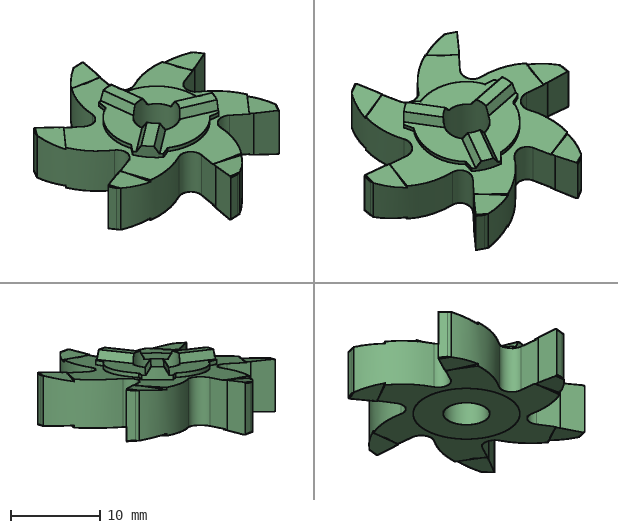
import cadquery as cq
import math

TOOTH_COUNT = 6
TOOTH_PITCH = 360 / TOOTH_COUNT
BODY_THICKNESS = 5.55
BODY_TOP = BODY_THICKNESS / 2
TIP_RADIUS = 13.85

GULLET_RADIUS = 1.45
GULLET_DISTANCE = 8.3
GULLET_ANGLE = -9.3

BACK_RADIUS = 9.6
BACK_CENTRE_X = 6.1

ROOT_FACE_X = 10.47
ROOT_BACK_X = 10.7

STEP_START_X = 10.9
STEP_END_X = 11.0
STEP_HEIGHT = 0.03

LAND_BEND = (13.75, 0.97)
LAND_END_X = 13.6

TIP_RISE = 0.25
TAPER_ANGLE = 3.0
SIDE_RELIEF_ANGLE = 5.0
CORNER_SIZE = 0.15

DOG_COUNT = 3
FIRST_DOG_ANGLE = 75.0
SLEEVE_RADIUS = 5.98
BORE_RADIUS = 2.6
LUG_THICKNESS = 0.5
LUG_RADIUS = 7.04
LUG_END_HALF_WIDTH = 1.75
LUG_SIDE_ANGLE = 15.0
DOG_HEIGHT = 1.02
DOG_BASE_HALF_WIDTH = 1.33
DOG_TOP_HALF_WIDTH = 0.72
LUG_TOP = BODY_TOP + LUG_THICKNESS
DOG_TOP = LUG_TOP + DOG_HEIGHT

TRIM_SIZE = 2 * TIP_RADIUS


def rotated(point, angle):
    """Turn a point (x, y) about the cutter axis by an angle in degrees."""
    x, y = point
    c = math.cos(math.radians(angle))
    s = math.sin(math.radians(angle))
    return (x * c - y * s, x * s + y * c)


def make_cylinder(radius, bottom, top):
    """Upright cylinder about the cutter axis."""
    return cq.Workplane("XY", origin=(0, 0, bottom)).circle(radius).extrude(top - bottom)


gullet_centre = rotated((GULLET_DISTANCE, 0), GULLET_ANGLE)
gullet_floor = rotated((GULLET_DISTANCE - GULLET_RADIUS, 0), GULLET_ANGLE)
gullet_end = (gullet_centre[0], gullet_centre[1] + GULLET_RADIUS)
next_gullet_centre = rotated(gullet_centre, TOOTH_PITCH)

centre_distance = BACK_RADIUS + GULLET_RADIUS
centre_offset = BACK_CENTRE_X - next_gullet_centre[0]
back_centre_y = next_gullet_centre[1] - math.sqrt(centre_distance**2 - centre_offset**2)
back_start_x = next_gullet_centre[0] + centre_offset * GULLET_RADIUS / centre_distance


def back_point(x):
    """Point at x on the curved back of the tooth."""
    return (x, back_centre_y + math.sqrt(BACK_RADIUS**2 - (x - BACK_CENTRE_X) ** 2))


back_start = back_point(back_start_x)
face_slope = (STEP_HEIGHT - gullet_end[1]) / (STEP_START_X - gullet_end[0])
root_face = (ROOT_FACE_X, STEP_HEIGHT + face_slope * (ROOT_FACE_X - STEP_START_X))
root_back = back_point(ROOT_BACK_X)
land_end = back_point(LAND_END_X)


def make_toothed_body():
    """Flat body with every tooth cut off at the root line of its tip."""
    outline = cq.Workplane("XY", origin=(0, 0, -BODY_TOP))
    outline = outline.moveTo(*rotated(back_start, -TOOTH_PITCH))
    back_middle = back_point((ROOT_BACK_X + back_start_x) / 2)
    for tooth in range(TOOTH_COUNT):
        angle = tooth * TOOTH_PITCH
        outline = (
            outline.threePointArc(rotated(gullet_floor, angle), rotated(gullet_end, angle))
            .lineTo(*rotated(root_face, angle))
            .lineTo(*rotated(root_back, angle))
            .threePointArc(rotated(back_middle, angle), rotated(back_start, angle))
        )
    return outline.close().extrude(BODY_THICKNESS)


def tip_top(x, y):
    """Point on the sloping top of a tip, highest at the outer end of its cutting face."""
    taper = (TIP_RADIUS - x) * math.tan(math.radians(TAPER_ANGLE))
    relief = y * math.tan(math.radians(SIDE_RELIEF_ANGLE))
    return cq.Vector(x, y, BODY_TOP + TIP_RISE - taper - relief)


def block_above(first, second, third):
    """Block on the upper side of the plane through three points."""
    normal = (second - first).cross(third - first)
    if normal.z < 0:
        normal = -normal
    plane = cq.Plane(origin=first, xDir=second - first, normal=normal)
    return cq.Workplane(plane).rect(TRIM_SIZE, TRIM_SIZE).extrude(TRIM_SIZE)


def make_tip():
    """Cutting tip along +X, alike above and below, with its outer corners cut off."""
    tip_half_height = BODY_TOP + TIP_RISE
    tip = (
        cq.Workplane("XY", origin=(0, 0, -tip_half_height))
        .moveTo(*root_face)
        .lineTo(STEP_START_X, STEP_HEIGHT)
        .lineTo(STEP_END_X, 0)
        .lineTo(TIP_RADIUS, 0)
        .lineTo(*LAND_BEND)
        .lineTo(*land_end)
        .threePointArc(back_point((LAND_END_X + ROOT_BACK_X) / 2), root_back)
        .close()
        .extrude(2 * tip_half_height)
    )
    outer_corner = tip_top(TIP_RADIUS, 0)
    end_of_land = tip_top(*land_end)
    top_trim = block_above(outer_corner, tip_top(ROOT_FACE_X, 0), end_of_land)
    corner_trim = block_above(
        outer_corner - cq.Vector(0, 0, CORNER_SIZE),
        tip_top(TIP_RADIUS - CORNER_SIZE, 0),
        end_of_land,
    )
    for trim in (top_trim, corner_trim):
        tip = tip.cut(trim).cut(trim.mirror("XY"))
    return tip


def make_cutter():
    """Toothed body with all its tips and a through hole for the coupling sleeve."""
    cutter = make_toothed_body()
    tip = make_tip()
    for tooth in range(TOOTH_COUNT):
        cutter = cutter.union(tip.rotate((0, 0, 0), (0, 0, 1), tooth * TOOTH_PITCH))
    hub_hole = make_cylinder(SLEEVE_RADIUS, -BODY_TOP, BODY_TOP)
    return cutter.cut(hub_hole)


def make_lug():
    """Lug of the sleeve along +X, narrowing outward to the lug radius."""
    end_x = math.sqrt(LUG_RADIUS**2 - LUG_END_HALF_WIDTH**2)
    root_half_width = LUG_END_HALF_WIDTH + end_x * math.tan(math.radians(LUG_SIDE_ANGLE))
    return (
        cq.Workplane("XY", origin=(0, 0, BODY_TOP))
        .moveTo(0, -root_half_width)
        .lineTo(end_x, -LUG_END_HALF_WIDTH)
        .threePointArc((LUG_RADIUS, 0), (end_x, LUG_END_HALF_WIDTH))
        .lineTo(0, root_half_width)
        .close()
        .extrude(LUG_THICKNESS)
    )


def make_dog():
    """Drive dog along +X with sloping flanks and a round outer end."""
    bar = (
        cq.Workplane("YZ")
        .moveTo(-DOG_BASE_HALF_WIDTH, LUG_TOP)
        .lineTo(DOG_BASE_HALF_WIDTH, LUG_TOP)
        .lineTo(DOG_TOP_HALF_WIDTH, DOG_TOP)
        .lineTo(-DOG_TOP_HALF_WIDTH, DOG_TOP)
        .close()
        .extrude(LUG_RADIUS)
    )
    return bar.intersect(make_cylinder(LUG_RADIUS, LUG_TOP, DOG_TOP))


def make_coupling():
    """Bored sleeve, flush with the cutter below, with a dog on each lug above."""
    coupling = make_cylinder(SLEEVE_RADIUS, -BODY_TOP, LUG_TOP)
    lug_with_dog = make_lug().union(make_dog())
    for index in range(DOG_COUNT):
        angle = FIRST_DOG_ANGLE + index * 360 / DOG_COUNT
        coupling = coupling.union(lug_with_dog.rotate((0, 0, 0), (0, 0, 1), angle))
    bore = make_cylinder(BORE_RADIUS, -BODY_TOP, DOG_TOP)
    return coupling.cut(bore)


cutter = make_cutter()
coupling = make_coupling()
result = cq.Compound.makeCompound([cutter.val(), coupling.val()])